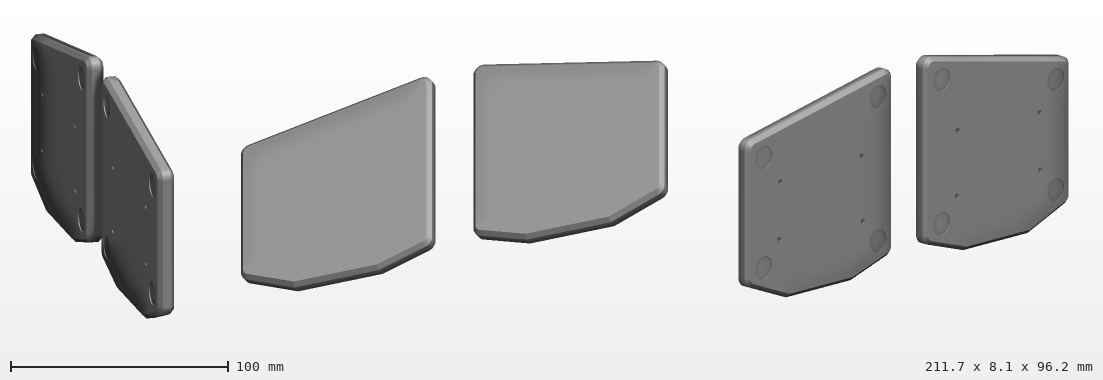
import cadquery as cq

overall_length = 211.7
plate_gap = 20.5
height = 96.3
front_thickness = 3.4
back_thickness = 4.7
outer_x = overall_length / 2
inner_x = plate_gap / 2
bottom_z = -height / 2
front_y = -(front_thickness + back_thickness) / 2
split_y = front_y + front_thickness

inner_top_z = 49.1
outer_top_z = 30.7
inner_low_z = -40.0
outer_low_z = -37.7
foot_inner_x = 36.8
foot_outer_x = 79.0
corner_radius = 4.9
edge_chamfer = 2.0

pad_diameter = 11.0
pad_depth = 0.5
pad_inner_x = 20.7
pad_outer_x = 95.5
pad_centers = [
    (pad_inner_x, 36.5),
    (pad_inner_x, -32.2),
    (pad_outer_x, 22.0),
    (pad_outer_x, -30.5),
]

screw_diameter = 1.23
counterbore_diameter = 2.5
counterbore_depth = 0.6
screw_centers = [(31.3, 10.2), (30.7, -21.0), (84.7, 8.3), (85.3, -19.0)]


def plane_at(y):
    """XZ plane at the given Y, facing -Y, so negative extrusions run toward +Y."""
    return cq.Plane(origin=(0, y, 0), xDir=(1, 0, 0), normal=(0, -1, 0))


def slab(near_y, thickness):
    """Plate blank: the two corners of the bottom edge stay sharp, the four side corners are rounded."""
    outline = [
        (inner_x, inner_top_z),
        (outer_x, outer_top_z),
        (outer_x, outer_low_z),
        (foot_outer_x, bottom_z),
        (foot_inner_x, bottom_z),
        (inner_x, inner_low_z),
    ]
    blank = cq.Workplane(plane_at(near_y)).polyline(outline).close().extrude(-thickness)
    side_corners = blank.edges("|Y").edges("<X or >X")
    return side_corners.fillet(corner_radius)


def round_pockets(centers, diameter, depth):
    """Round cutters that go in from the front face."""
    return cq.Workplane(plane_at(front_y)).pushPoints(centers).circle(diameter / 2).extrude(-depth)


def make_front_plate():
    """Right-hand front plate with its pad recesses and screw holes."""
    plate = slab(front_y, front_thickness).faces("<Y").chamfer(edge_chamfer)
    plate = plate.cut(round_pockets(pad_centers, pad_diameter, pad_depth))
    plate = plate.cut(round_pockets(screw_centers, screw_diameter, front_thickness))
    return plate.cut(round_pockets(screw_centers, counterbore_diameter, counterbore_depth))


def make_back_plate():
    """Right-hand back plate, plain and chamfered on its far face."""
    return slab(split_y, back_thickness).faces(">Y").chamfer(edge_chamfer)


bodies = []
for plate in (make_front_plate(), make_back_plate()):
    bodies.append(plate.val())
    bodies.append(plate.mirror("YZ").val())

result = cq.Compound.makeCompound(bodies)